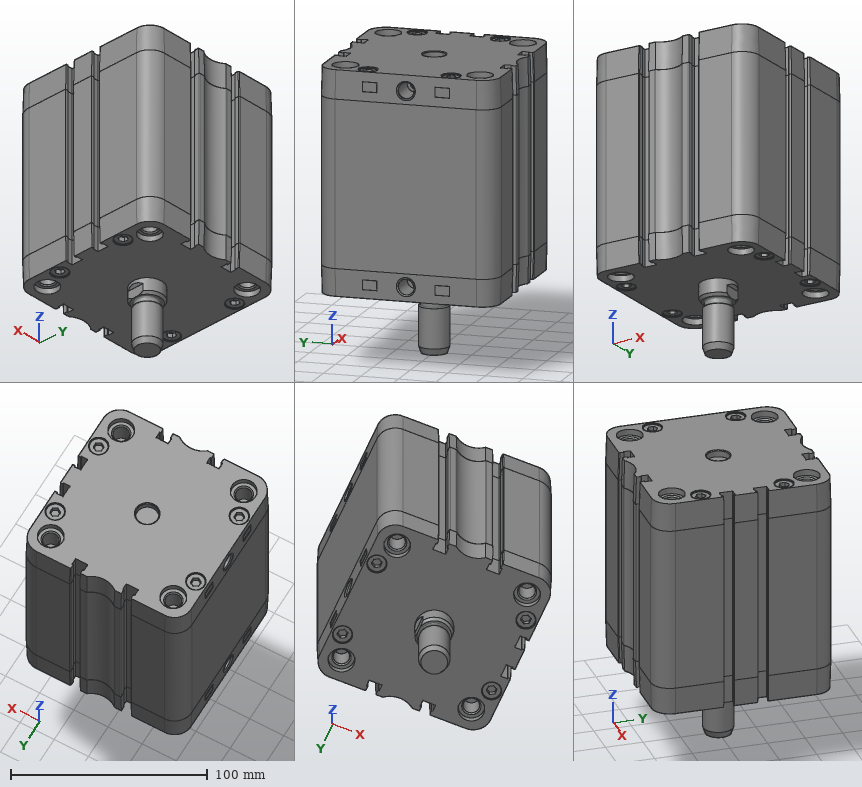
import cadquery as cq
import math


total_length = 156.0
body_height = 118.5
rod_projection = total_length - body_height
width = 95.5
corner_radius = 10.1
upper_cap_height = 15.3
lower_cap_height = 14.7
barrel_height = body_height - upper_cap_height - lower_cap_height
cap_draft_inset = 0.5

slot_width = 7.0
lip_width = 5.6
front_slot_offset = 14.8
front_slot_depth = 6.7
front_lip_depth = 3.1
side_slot_offset = 9.0
side_slot_depth = 5.6
side_lip_depth = 1.9
slot_mouth_chamfer = 0.5
slot_edge_round = 0.5

channel_radius = 12.5
cap_channel_half_width = 8.0
barrel_channel_half_width = 8.1
channel_edge_round = 0.8

mount_pitch = 71.8
mount_recess_diameter = 13.5
mount_recess_depth = 3.3
mount_hole_diameter = 8.5
mount_hole_mouth = 9.8

screw_pitch_x = 82.4
screw_pitch_y = 44.3
screw_recess_diameter = 10.3
screw_recess_depth = 0.8
screw_recess_chamfer = 0.39
screw_socket_width = 4.7
screw_socket_depth = 2.5

centre_hole_diameter = 12.0
centre_hole_depth = 3.7
centre_hole_chamfer = 0.5

port_diameter = 8.5
port_mouth = 10.1
port_depth = 15.6
port_passage_diameter = 5.0
port_passage_depth = 7.8
port_offset = 7.0

label_side_offset = 19.3
label_offset = 7.5
label_width = 7.6
label_height = 5.1
label_depth = 0.3

rod_diameter = 20.0
collar_length = 9.2
collar_chamfer_height = 1.5
collar_chamfer_inset = 1.2
flat_distance = 17.0
flat_start = 3.5
neck_diameter = 14.0
neck_length = 3.6
neck_fillet = 0.5
thread_diameter = 16.0
tip_diameter = 13.5
tip_length = 3.6

half_width = width / 2
edge_search = 0.39


def grid_points(pitch_x, pitch_y):
    return [(sx * pitch_x / 2, sy * pitch_y / 2) for sx in (-1, 1) for sy in (-1, 1)]


def rounded_square():
    return cq.Sketch().rect(width, width).vertices().fillet(corner_radius)


def t_slot(offset, depth, lip_depth, height):
    """Cutter for a T-slot open to +X, with its centre line at y = offset."""
    floor = cq.Workplane("XY", origin=(half_width - depth, offset, 0))
    wide = floor.box(depth - lip_depth, slot_width, height, centered=(False, True, False))
    lip = floor.box(depth, lip_width, height, centered=(False, True, False))
    return wide.union(lip)


def cut_slots(body, height):
    """Cut a pair of T-slots in the +X, +Y and -Y sides."""
    for side in (-1, 1):
        body = body.cut(t_slot(side * side_slot_offset, side_slot_depth, side_lip_depth, height))
        front_slot = t_slot(side * front_slot_offset, front_slot_depth, front_lip_depth, height)
        for angle in (-90, 90):
            body = body.cut(front_slot.rotate((0, 0, 0), (0, 0, 1), angle))
    return body


def cut_channels(body, half_chord, height, radius_growth):
    """Cut the concave channels in +Y and -Y; their radius grows upwards by radius_growth."""
    centre_y = half_width + math.sqrt(channel_radius**2 - half_chord**2)
    for side in (-1, 1):
        channel = (
            cq.Workplane("XY")
            .center(0, side * centre_y)
            .circle(channel_radius)
            .workplane(offset=height)
            .circle(channel_radius + radius_growth)
            .loft()
        )
        body = body.cut(channel)
    return body


def front_face_edges(x, height):
    """Selector for the upright edges at x and -x on the +Y and -Y faces."""
    selector = None
    for sx in (-1, 1):
        for sy in (-1, 1):
            near = (sx * x - edge_search, sy * half_width - edge_search, 0)
            far = (sx * x + edge_search, sy * half_width + edge_search, height)
            box = cq.selectors.BoxSelector(near, far)
            selector = box if selector is None else selector + box
    return selector


def chamfer_slot_mouths(body, height):
    outer_edge = front_slot_offset + lip_width / 2
    return body.edges(front_face_edges(outer_edge, height)).chamfer(slot_mouth_chamfer)


def cap_blank(height):
    """Drafted cap with slots and channels; joint face at z = 0, outer face at the top."""
    draft_angle = math.degrees(math.atan2(cap_draft_inset, height))
    blank = cq.Workplane("XY").placeSketch(rounded_square()).extrude(height, taper=draft_angle)
    blank = cut_channels(blank, cap_channel_half_width, height, cap_draft_inset)
    blank = cut_slots(blank, height)
    return chamfer_slot_mouths(blank, height)


def cut_mounting_holes(cap, height):
    """Corner holes through the cap, with a recess at the outer face and a 45-degree mouth."""
    recess_floor = height - mount_recess_depth
    mouth_depth = (mount_hole_mouth - mount_hole_diameter) / 2
    profile = (
        cq.Workplane("XZ")
        .moveTo(0, 0)
        .lineTo(mount_hole_diameter / 2, 0)
        .lineTo(mount_hole_diameter / 2, recess_floor - mouth_depth)
        .lineTo(mount_hole_mouth / 2, recess_floor)
        .lineTo(mount_recess_diameter / 2, recess_floor)
        .lineTo(mount_recess_diameter / 2, height)
        .lineTo(0, height)
        .close()
    )
    hole = profile.revolve(360, (0, 0), (0, 1))
    for x, y in grid_points(mount_pitch, mount_pitch):
        cap = cap.cut(hole.translate((x, y, 0)))
    return cap


def cut_screw_heads(cap, height):
    """Sunk screw heads, each with a hexagon socket that has corners towards +Y and -Y."""
    head_top = height - screw_recess_depth
    floor_diameter = screw_recess_diameter - 2 * screw_recess_chamfer
    recess = (
        cq.Workplane("XY", origin=(0, 0, head_top))
        .circle(floor_diameter / 2)
        .extrude(screw_recess_depth)
    )
    chamfer = (
        cq.Workplane("XY", origin=(0, 0, height))
        .circle(screw_recess_diameter / 2)
        .extrude(-screw_recess_chamfer, taper=45)
    )
    socket = (
        cq.Workplane("XY", origin=(0, 0, head_top))
        .polygon(6, screw_socket_width / math.cos(math.pi / 6))
        .extrude(-screw_socket_depth)
        .rotate((0, 0, 0), (0, 0, 1), 30)
    )
    cutter = recess.union(chamfer).union(socket)
    for x, y in grid_points(screw_pitch_x, screw_pitch_y):
        cap = cap.cut(cutter.translate((x, y, 0)))
    return cap


def cut_port(cap, height):
    """Air port in the -X side, with a 45-degree mouth starting at the drafted surface."""
    face_x = -half_width + cap_draft_inset * port_offset / height
    mouth_depth = (port_mouth - port_diameter) / 2
    bore = (
        cq.Workplane("YZ", origin=(-half_width, 0, port_offset))
        .circle(port_diameter / 2)
        .extrude(port_depth)
    )
    mouth = (
        cq.Workplane("YZ", origin=(face_x, 0, port_offset))
        .circle(port_mouth / 2)
        .extrude(mouth_depth, taper=45)
    )
    return cap.cut(bore).cut(mouth)


def cut_labels(cap, height):
    """Shallow rectangular recesses; each cutter is centred on the drafted surface."""
    face_x = -half_width + cap_draft_inset * label_offset / height
    for side in (-1, 1):
        label = cq.Workplane("XY").box(2 * label_depth, label_width, label_height)
        cap = cap.cut(label.translate((face_x, side * label_side_offset, label_offset)))
    return cap


def make_cap(height):
    cap = cap_blank(height)
    cap = cut_mounting_holes(cap, height)
    cap = cut_screw_heads(cap, height)
    cap = cut_port(cap, height)
    return cut_labels(cap, height)


def make_upper_cap():
    height = upper_cap_height
    centre_hole = (
        cq.Workplane("XY", origin=(0, 0, height))
        .circle(centre_hole_diameter / 2)
        .extrude(-centre_hole_depth)
    )
    centre_mouth = (
        cq.Workplane("XY", origin=(0, 0, height))
        .circle(centre_hole_diameter / 2 + centre_hole_chamfer)
        .extrude(-centre_hole_chamfer, taper=45)
    )
    passage = (
        cq.Workplane("YZ", origin=(port_depth - half_width, 0, port_offset))
        .circle(port_passage_diameter / 2)
        .extrude(port_passage_depth)
    )
    cap = make_cap(height).cut(centre_hole).cut(centre_mouth).cut(passage)
    return cap.translate((0, 0, lower_cap_height + barrel_height))


def make_lower_cap():
    rod_hole = cq.Workplane("XY").circle(rod_diameter / 2).extrude(lower_cap_height)
    cap = make_cap(lower_cap_height).cut(rod_hole)
    return cap.mirror("XY").translate((0, 0, lower_cap_height))


def make_barrel():
    barrel = cq.Workplane("XY").placeSketch(rounded_square()).extrude(barrel_height)
    barrel = cut_channels(barrel, barrel_channel_half_width, barrel_height, 0)
    barrel = cut_slots(barrel, barrel_height)
    barrel = chamfer_slot_mouths(barrel, barrel_height)
    slot_inner_edge = front_slot_offset - lip_width / 2
    barrel = barrel.edges(front_face_edges(slot_inner_edge, barrel_height)).fillet(slot_edge_round)
    channel_edges = front_face_edges(barrel_channel_half_width, barrel_height)
    barrel = barrel.edges(channel_edges).fillet(channel_edge_round)
    return barrel.translate((0, 0, lower_cap_height))


def make_rod():
    collar_radius = rod_diameter / 2
    neck_radius = neck_diameter / 2
    thread_radius = thread_diameter / 2
    neck_top = -collar_length
    neck_bottom = neck_top - neck_length
    rod = (
        cq.Workplane("XZ")
        .moveTo(0, lower_cap_height)
        .lineTo(collar_radius, lower_cap_height)
        .lineTo(collar_radius, neck_top + collar_chamfer_height)
        .lineTo(collar_radius - collar_chamfer_inset, neck_top)
        .lineTo(neck_radius + neck_fillet, neck_top)
        .radiusArc((neck_radius, neck_top - neck_fillet), -neck_fillet)
        .lineTo(neck_radius, neck_bottom + neck_fillet)
        .radiusArc((neck_radius + neck_fillet, neck_bottom), -neck_fillet)
        .lineTo(thread_radius, neck_bottom)
        .lineTo(thread_radius, tip_length - rod_projection)
        .lineTo(tip_diameter / 2, -rod_projection)
        .lineTo(0, -rod_projection)
        .close()
        .revolve(360, (0, 0), (0, 1))
    )
    return cut_wrench_flats(rod)


def cut_wrench_flats(rod):
    """Two flats across X on the collar, running out upwards at 45 degrees."""
    flat_x = flat_distance / 2
    flat_depth = rod_diameter / 2 - flat_x
    flat = (
        cq.Workplane("XZ")
        .moveTo(flat_x, -collar_length)
        .lineTo(flat_x, -flat_start)
        .lineTo(flat_x + flat_depth, flat_depth - flat_start)
        .lineTo(flat_x + flat_depth, -collar_length)
        .close()
        .extrude(rod_diameter / 2, both=True)
    )
    return rod.cut(flat).cut(flat.mirror("YZ"))


upper_cap = make_upper_cap()
lower_cap = make_lower_cap()
barrel = make_barrel()
rod = make_rod()

result = cq.Compound.makeCompound([upper_cap.val(), lower_cap.val(), barrel.val(), rod.val()])